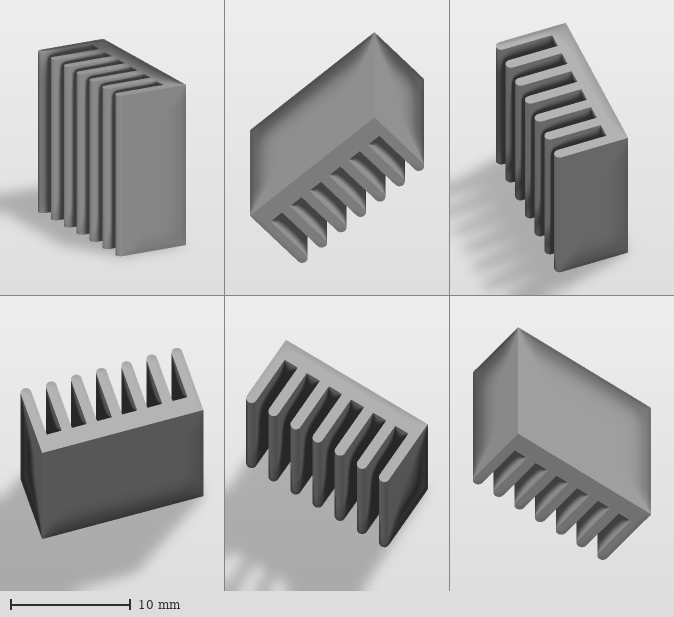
import cadquery as cq

width = 14.1
height = 14.1
depth = 6.45
base_thickness = 1.6
fin_count = 7
fin_thickness = 0.9

fin_pitch = (width - fin_thickness) / (fin_count - 1)
tip_radius = fin_thickness / 2
back_y = depth / 2
front_y = -depth / 2
tip_start_y = front_y + tip_radius


def make_base():
    """Flat plate joining all the fins at the back."""
    return cq.Workplane("XY").box(width, base_thickness, height).translate(
        (0, back_y - base_thickness / 2, 0)
    )


def make_fin(center_x):
    """Straight fin with a fully rounded tip, rooted in the back face of the base."""
    left_x = center_x - fin_thickness / 2
    right_x = center_x + fin_thickness / 2
    return (
        cq.Workplane("XY", origin=(0, 0, -height / 2))
        .moveTo(left_x, back_y)
        .lineTo(left_x, tip_start_y)
        .threePointArc((center_x, front_y), (right_x, tip_start_y))
        .lineTo(right_x, back_y)
        .close()
        .extrude(height)
    )


result = make_base()
for index in range(fin_count):
    fin_x = (index - (fin_count - 1) / 2) * fin_pitch
    result = result.union(make_fin(fin_x))
result = result.clean()